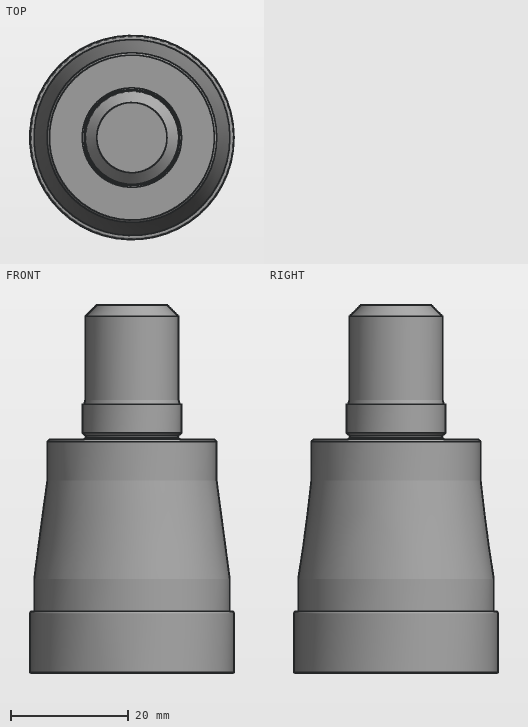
import cadquery as cq

disc_radius = 17.46
disc_height = 10.6
disc_top_fillet = 0.4
disc_bottom_chamfer = 0.2

skirt_radius = 16.75
skirt_top = 16.1
shoulder_radius = 14.5
taper_top = 33.0
shoulder_height = 40.0
shoulder_chamfer = 0.4

groove_radius = 7.9
groove_flare = 0.3
groove_width = 0.6

pilot_radius = 8.5
pilot_bottom_chamfer = 0.5
pilot_top = 46.0
pilot_step_radius = 8.2
stud_radius = 8.0
stud_start = 46.75
stud_chamfer = 2.0
overall_height = 63.0


def make_disc():
    """Plain disc with a rounded top rim and a chamfered bottom rim."""
    disc = cq.Workplane("XY").circle(disc_radius).extrude(disc_height)
    disc = disc.faces(">Z").fillet(disc_top_fillet)
    return disc.faces("<Z").chamfer(disc_bottom_chamfer)


def make_holder():
    """Turned holder: skirt, taper, shoulder, relief groove, pilot and stud."""
    groove_top = shoulder_height + groove_width
    profile = [
        (0, disc_height),
        (skirt_radius, disc_height),
        (skirt_radius, skirt_top),
        (shoulder_radius, taper_top),
        (shoulder_radius, shoulder_height - shoulder_chamfer),
        (shoulder_radius - shoulder_chamfer, shoulder_height),
        (groove_radius + groove_flare, shoulder_height),
        (groove_radius, shoulder_height + groove_flare),
        (groove_radius, groove_top),
        (pilot_radius, groove_top + pilot_bottom_chamfer),
        (pilot_radius, pilot_top),
        (pilot_step_radius, pilot_top),
        (stud_radius, stud_start),
        (stud_radius, overall_height - stud_chamfer),
        (stud_radius - stud_chamfer, overall_height),
        (0, overall_height),
    ]
    return cq.Workplane("XZ").polyline(profile).close().revolve(360, (0, 0, 0), (0, 1, 0))


disc = make_disc()
holder = make_holder()

result = cq.Compound.makeCompound([disc.val(), holder.val()])